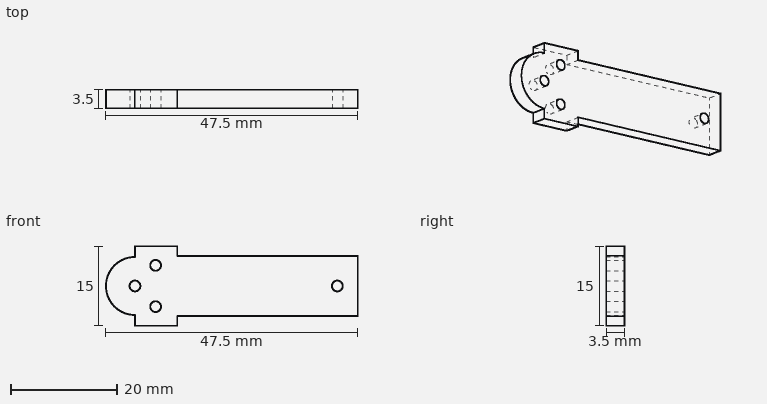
import math

import cadquery as cq

thickness = 3.5
total_length = 47.5
nose_radius = 5.5
tab_length = 8.0
tab_height = 15.0
arm_height = 11.33
arm_end_x = total_length - nose_radius

hole_diameter = 2.0
side_hole_distance = 5.5
side_hole_offset = side_hole_distance * math.cos(math.radians(45))
far_hole_x = 38.15


def plate_outline():
    """Rounded nose, wide tab section and long straight arm as one profile."""
    half_tab = tab_height / 2
    half_arm = arm_height / 2
    return (
        cq.Workplane("XZ")
        .moveTo(0, nose_radius)
        .lineTo(0, half_tab)
        .lineTo(tab_length, half_tab)
        .lineTo(tab_length, half_arm)
        .lineTo(arm_end_x, half_arm)
        .lineTo(arm_end_x, -half_arm)
        .lineTo(tab_length, -half_arm)
        .lineTo(tab_length, -half_tab)
        .lineTo(0, -half_tab)
        .lineTo(0, -nose_radius)
        .threePointArc((-nose_radius, 0), (0, nose_radius))
        .close()
    )


def through_holes():
    """Pins that cut the nose hole, the two tab holes and the far arm hole."""
    centres = [
        (0, 0),
        (side_hole_offset, side_hole_offset),
        (side_hole_offset, -side_hole_offset),
        (far_hole_x, 0),
    ]
    return cq.Workplane("XZ").pushPoints(centres).circle(hole_diameter / 2).extrude(thickness)


result = plate_outline().extrude(thickness).cut(through_holes())